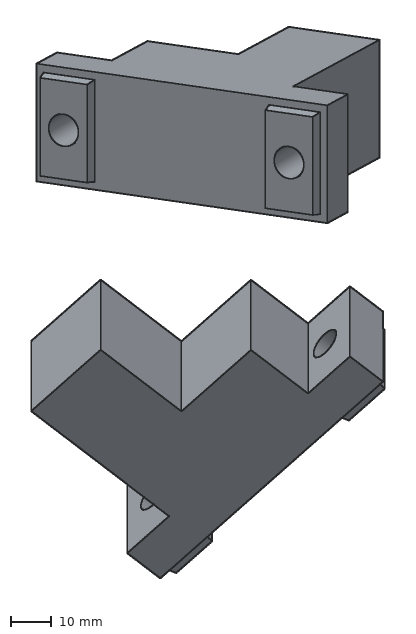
import cadquery as cq

length = 80.0
depth = 60.0
height = 30.0

pad_height = 3.0
flange_thickness = 11.0
low_step_depth = 19.0
side_setback = 15.0

pad_width = 14.0
pad_margin = 2.0
pad_draft_angle = 10.0
hole_diameter = 8.2

flange_back = pad_height + flange_thickness
low_step_back = flange_back + low_step_depth
half_length = length / 2
block_side = half_length - side_setback
pad_center = half_length - pad_margin - pad_width / 2


def stepped_body():
    """Flange, wide low step and narrow tall step in one extruded outline."""
    outline = [
        (-half_length, pad_height),
        (half_length, pad_height),
        (half_length, flange_back),
        (block_side, flange_back),
        (block_side, depth),
        (0, depth),
        (0, low_step_back),
        (-block_side, low_step_back),
        (-block_side, flange_back),
        (-half_length, flange_back),
    ]
    return cq.Workplane("XY").polyline(outline).close().extrude(height)


def front_plane(y, x):
    """Workplane facing -Y, centred on the part's height."""
    return cq.Workplane("XZ", origin=(x, y, height / 2))


def mounting_pad(x):
    """Pad that tapers towards its outer face."""
    pad_length = height - 2 * pad_margin
    base = front_plane(pad_height, x).rect(pad_width, pad_length)
    return base.extrude(pad_height, taper=pad_draft_angle)


def mounting_hole(x):
    """Cutter running from the pad face through the flange."""
    return front_plane(0, x).circle(hole_diameter / 2).extrude(-flange_back)


result = stepped_body()
for x in (-pad_center, pad_center):
    result = result.union(mounting_pad(x)).cut(mounting_hole(x))